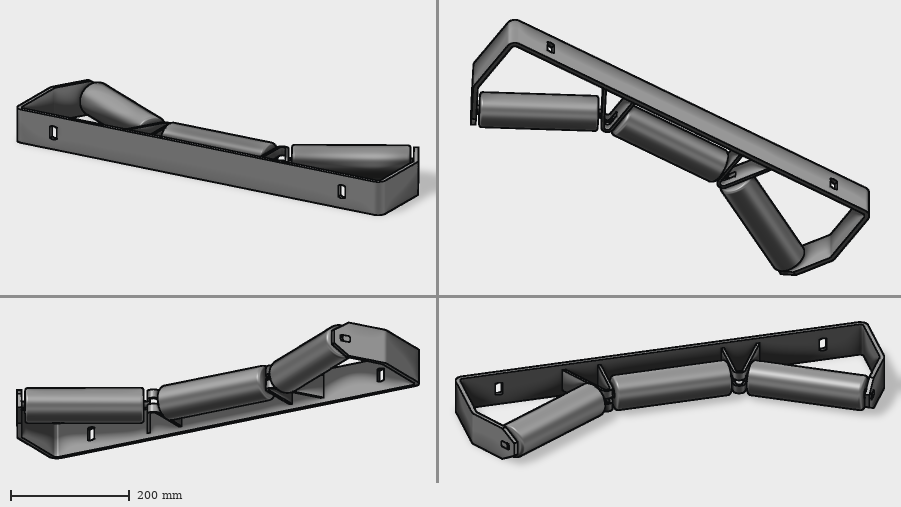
import cadquery as cq
import math


FRAME_LENGTH = 720.0
FRAME_DEPTH = 209.0
FRAME_WIDTH = 60.0
FRAME_THICKNESS = 8.0
FRAME_BEND_RADIUS = 14.5
TIP_WIDTH = 24.5
TAPER_LENGTH = 28.0
MOUNT_HOLE_SPACING = 566.0
MOUNT_HOLE_LENGTH = 24.0
MOUNT_HOLE_WIDTH = 13.0

TROUGH_ANGLE = 30.0
ROLLER_LENGTH = 200.0
ROLLER_DIAMETER = 60.0
ROLLER_FILLET = 5.0
CENTRE_AXIS_Y = 71.0
CENTRE_GAP = 5.0
SIDE_GAP = 6.0
SPINDLE_DIAMETER = 15.0
SPINDLE_FLATS = 11.0
SPINDLE_ROUND_LENGTH = 3.0
ARM_SLOT_LENGTH = 19.5

BRACKET_THICKNESS = 5.0
BRACKET_WIDTH = 40.0
BRACKET_BEND_RADIUS = 11.0
FOLD_ABOVE_AXIS = 13.0

SIN = math.sin(math.radians(TROUGH_ANGLE))
COS = math.cos(math.radians(TROUGH_ANGLE))
BRACKET_INNER_RADIUS = BRACKET_BEND_RADIUS - BRACKET_THICKNESS
BRACKET_LEG_X = ROLLER_LENGTH / 2 + CENTRE_GAP
FOLD_X = BRACKET_LEG_X + BRACKET_BEND_RADIUS
FOLD_Y = CENTRE_AXIS_Y + FOLD_ABOVE_AXIS

SIDE_ROLLER_REACH = BRACKET_BEND_RADIUS + SIDE_GAP + ROLLER_LENGTH / 2
ARM_INNER_REACH = SIDE_ROLLER_REACH + ROLLER_LENGTH / 2 + SIDE_GAP
ARM_OUTER_REACH = ARM_INNER_REACH + FRAME_THICKNESS


def tilted_point(reach, rise):
    """XY point at a reach along the side roller direction and a rise along its tilted plates."""
    return (FOLD_X + reach * COS - rise * SIN, FOLD_Y + reach * SIN + rise * COS)


def tilted_plane(reach, rise):
    """Plane parallel to the tilted plates: local x runs up the plate, the normal along the roller."""
    return cq.Plane(origin=(*tilted_point(reach, rise), 0), xDir=(-SIN, COS, 0), normal=(COS, SIN, 0))


def mirrored(body):
    """Copy on the other side of X = 0."""
    return body.mirror("YZ")


def flatted_bar(plane, start, length, width, end_diameter, depth):
    """Bar with two flat sides and two arc ends, its outline running from start along local x."""
    radius = end_diameter / 2
    arc_height = radius - math.sqrt(radius**2 - (width / 2) ** 2)
    end = start + length
    return (
        cq.Workplane(plane)
        .moveTo(start + arc_height, -width / 2)
        .lineTo(end - arc_height, -width / 2)
        .threePointArc((end, 0), (end - arc_height, width / 2))
        .lineTo(start + arc_height, width / 2)
        .threePointArc((start, 0), (start + arc_height, -width / 2))
        .close()
        .extrude(depth)
    )


def spindle_slot(plane, length, depth):
    """Slot cutter that fits under a spindle whose axis passes through the plane's origin."""
    return flatted_bar(plane, -SPINDLE_DIAMETER / 2, length, SPINDLE_FLATS, SPINDLE_DIAMETER, depth)


ARM_TIP_RISE = (FRAME_DEPTH - tilted_point(ARM_OUTER_REACH, 0)[1]) / COS


def strip_face_corners(inset, arm_reach):
    """Corners of one face of the strip, from the +X arm tip round to the -X one."""
    wall_x = FRAME_LENGTH / 2 - inset
    arm_x, arm_y = tilted_point(arm_reach, 0)
    tip = tilted_point(arm_reach, ARM_TIP_RISE)
    knee = (wall_x, arm_y - (wall_x - arm_x) * COS / SIN)
    half = [tip, knee, (wall_x, inset)]
    return half + [(-x, y) for x, y in reversed(half)]


def bent_strip():
    outer = strip_face_corners(0, ARM_OUTER_REACH)
    inner = strip_face_corners(FRAME_THICKNESS, ARM_INNER_REACH)
    strip = cq.Workplane("XY").polyline(outer + inner[::-1]).close().extrude(FRAME_WIDTH / 2, both=True)

    inner_radius = FRAME_BEND_RADIUS - FRAME_THICKNESS
    for corners, radius in ((outer, FRAME_BEND_RADIUS), (inner, inner_radius)):
        for x, y in corners[1:-1]:
            bend_edge = cq.selectors.NearestToPointSelector((x, y, 0))
            strip = strip.edges(bend_edge).fillet(radius)
    return strip


def arm_taper():
    """Cutter for the two corners that narrow the +X arm to its tip."""
    corner = (
        cq.Workplane(tilted_plane(ARM_INNER_REACH, ARM_TIP_RISE))
        .polyline([(0, TIP_WIDTH / 2), (0, FRAME_WIDTH / 2), (-TAPER_LENGTH, FRAME_WIDTH / 2)])
        .close()
        .extrude(FRAME_THICKNESS)
    )
    return corner.union(corner.mirror("XY"))


def mount_hole():
    """Cutter for the +X mounting hole: a round hole with two flat sides."""
    plane = cq.Plane(origin=(MOUNT_HOLE_SPACING / 2, 0, 0), xDir=(0, 0, 1), normal=(0, 1, 0))
    start = -MOUNT_HOLE_LENGTH / 2
    return flatted_bar(plane, start, MOUNT_HOLE_LENGTH, MOUNT_HOLE_WIDTH, MOUNT_HOLE_LENGTH, FRAME_THICKNESS)


def make_frame():
    arm_plane = tilted_plane(ARM_INNER_REACH, -FOLD_ABOVE_AXIS)
    arm_slot = spindle_slot(arm_plane, ARM_SLOT_LENGTH, FRAME_THICKNESS)
    frame = bent_strip()
    for cutter in (arm_slot, arm_taper(), mount_hole()):
        frame = frame.cut(cutter).cut(mirrored(cutter))
    return frame


def fold_crown(radius):
    """Middle of the fold arc, halfway between the two legs."""
    angle = math.radians((180 + TROUGH_ANGLE) / 2)
    return (FOLD_X + radius * math.cos(angle), FOLD_Y + radius * math.sin(angle))


def tilted_leg_foot(radius):
    """Where one face of the tilted leg meets the frame base."""
    x, y = tilted_point(radius, 0)
    return (x + (y - FRAME_THICKNESS) * SIN / COS, FRAME_THICKNESS)


def make_bracket():
    """+X bracket: an upright leg and a tilted leg joined by a fold, slotted open across the fold."""
    outer = BRACKET_BEND_RADIUS
    inner = BRACKET_INNER_RADIUS
    bracket = (
        cq.Workplane("XY")
        .moveTo(FOLD_X - outer, FRAME_THICKNESS)
        .lineTo(FOLD_X - outer, FOLD_Y)
        .threePointArc(fold_crown(outer), tilted_point(outer, 0))
        .lineTo(*tilted_leg_foot(outer))
        .lineTo(*tilted_leg_foot(inner))
        .lineTo(*tilted_point(inner, 0))
        .threePointArc(fold_crown(inner), (FOLD_X - inner, FOLD_Y))
        .lineTo(FOLD_X - inner, FRAME_THICKNESS)
        .close()
        .extrude(BRACKET_WIDTH / 2, both=True)
    )

    slot_length = FOLD_ABOVE_AXIS + outer + SPINDLE_DIAMETER
    upright = cq.Plane(origin=(BRACKET_LEG_X, CENTRE_AXIS_Y, 0), xDir=(0, 1, 0), normal=(1, 0, 0))
    tilted = tilted_plane(0, -FOLD_ABOVE_AXIS)
    for plane in (upright, tilted):
        bracket = bracket.cut(spindle_slot(plane, slot_length, outer))
    return bracket


def make_roller(gap, end_thickness):
    """Roller along X about the origin: its -X end fits a bracket, its +X end the given plate."""
    half_length = ROLLER_LENGTH / 2
    tube = cq.Workplane("YZ", origin=(-half_length, 0, 0)).circle(ROLLER_DIAMETER / 2).extrude(ROLLER_LENGTH)
    tube = tube.edges("%CIRCLE").fillet(ROLLER_FILLET)

    round_half = half_length + SPINDLE_ROUND_LENGTH
    round_part = (
        cq.Workplane("YZ", origin=(-round_half, 0, 0)).circle(SPINDLE_DIAMETER / 2).extrude(2 * round_half)
    )

    start_x = -half_length - gap - BRACKET_THICKNESS
    end_x = half_length + gap + end_thickness
    flatted_plane = cq.Plane(origin=(start_x, 0, 0), xDir=(0, 1, 0), normal=(1, 0, 0))
    flatted_part = spindle_slot(flatted_plane, SPINDLE_DIAMETER, end_x - start_x)
    return tube.union(round_part).union(flatted_part)


def make_side_roller():
    """+X side roller, tilted between the bracket and the frame arm."""
    roller = make_roller(SIDE_GAP, FRAME_THICKNESS).rotate((0, 0, 0), (0, 0, 1), TROUGH_ANGLE)
    return roller.translate((*tilted_point(SIDE_ROLLER_REACH, -FOLD_ABOVE_AXIS), 0))


frame = make_frame()
centre_roller = make_roller(CENTRE_GAP, BRACKET_THICKNESS).translate((0, CENTRE_AXIS_Y, 0))
bodies = [frame.solids().val(), centre_roller.solids().val()]
for paired_body in (make_bracket(), make_side_roller()):
    bodies += [paired_body.solids().val(), mirrored(paired_body).solids().val()]

result = cq.Compound.makeCompound(bodies)